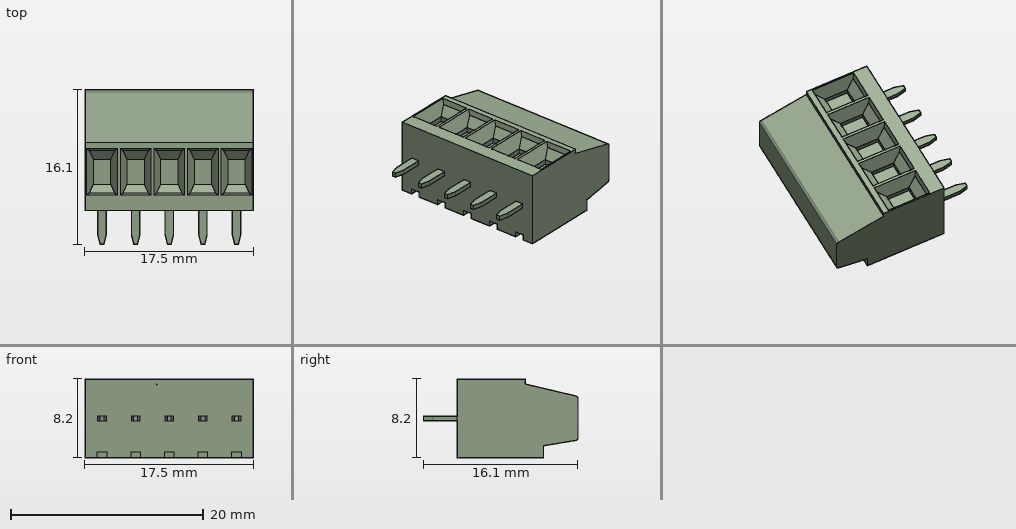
import cadquery as cq


way_count = 5
pitch = 3.5

housing_length = way_count * pitch
housing_depth = 12.6
housing_height = 8.2
top_shelf_depth = 7.1
top_step = 0.5
base_depth = 9.0
base_step = 1.25
nose_top = 6.4
nose_bottom = 1.85
nose_radius = 0.3

pocket_width = 3.2
pocket_length = 4.85
pocket_center_y = 4.05
rim_depth = 0.55
rim_end_inset = 0.2
funnel_depth = 1.45
well_width = 1.8
well_length = 2.6
well_depth = 2.0
rim_side_inset = (pocket_width - well_width) / 2 * rim_depth / funnel_depth

pin_width = 0.9
pin_thickness = 0.5
pin_length = 3.5
pin_tip_width = 0.4
pin_taper_length = 1.0
pin_root_length = 0.5
pin_center_z = housing_height / 2

notch_width = 1.0
notch_height = 0.6
notch_depth = 1.0

way_positions = [(i - (way_count - 1) / 2) * pitch for i in range(way_count)]


def make_housing():
    """Extrude the stepped side profile along X and round the two nose edges."""
    profile = [
        (0, 0),
        (base_depth, 0),
        (base_depth, base_step),
        (housing_depth, nose_bottom),
        (housing_depth, nose_top),
        (top_shelf_depth, housing_height - top_step),
        (top_shelf_depth, housing_height),
        (0, housing_height),
    ]
    housing = cq.Workplane("YZ").polyline(profile).close().extrude(housing_length / 2, both=True)
    return housing.faces(">Y").edges("|X").fillet(nose_radius)


def make_frustum(depth, upper_size, lower_depth, lower_size):
    """Loft between two rectangles at the given depths below the housing top."""
    return (
        cq.Workplane("XY")
        .workplane(offset=housing_height - depth)
        .rect(*upper_size)
        .workplane(offset=depth - lower_depth)
        .rect(*lower_size)
        .loft(ruled=True)
    )


def make_pocket():
    """Pocket cutter: tapered rim, shallower funnel, then a straight well."""
    mouth_size = (pocket_width, pocket_length)
    rim_size = (pocket_width - 2 * rim_side_inset, pocket_length - 2 * rim_end_inset)
    well_size = (well_width, well_length)
    rim = make_frustum(0, mouth_size, rim_depth, rim_size)
    funnel = make_frustum(rim_depth, rim_size, funnel_depth, well_size)
    well = make_frustum(funnel_depth, well_size, well_depth, well_size)
    return rim.union(funnel).union(well).clean().translate((0, pocket_center_y, 0))


def make_notch():
    """Blind rectangular notch cutter at the foot of the pin face."""
    return cq.Workplane("XY").box(notch_width, notch_depth, notch_height, centered=(True, False, False))


def make_pin():
    """Flat pin with a tapered tip, its root embedded in the housing."""
    taper_start = pin_taper_length - pin_length
    outline = [
        (-pin_width / 2, pin_root_length),
        (-pin_width / 2, taper_start),
        (-pin_tip_width / 2, -pin_length),
        (pin_tip_width / 2, -pin_length),
        (pin_width / 2, taper_start),
        (pin_width / 2, pin_root_length),
    ]
    pin = cq.Workplane("XY").polyline(outline).close().extrude(pin_thickness / 2, both=True)
    return pin.translate((0, 0, pin_center_z))


result = make_housing()
for x in way_positions:
    result = result.cut(make_pocket().translate((x, 0, 0)))
    result = result.cut(make_notch().translate((x, 0, 0)))
    result = result.union(make_pin().translate((x, 0, 0)))